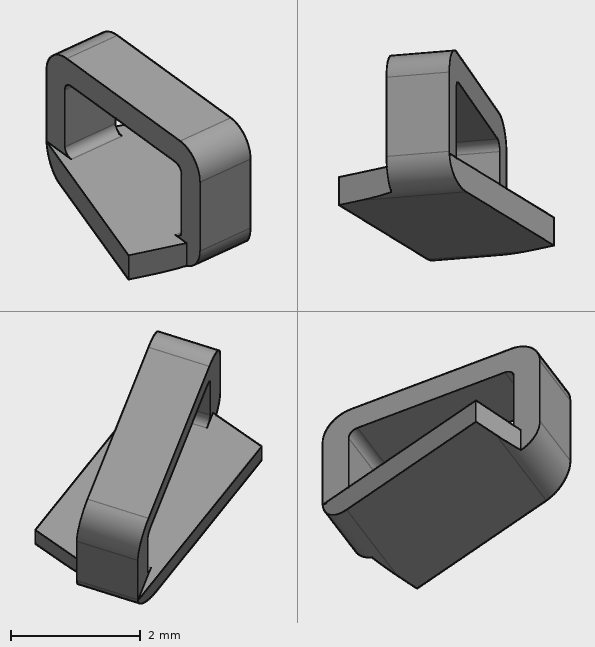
import cadquery as cq
import math

overall_x = 3.93
loop_angle = 17.4
loop_depth = 1.0
loop_height = 2.3
wall = 0.46
outer_radius = 0.5
inner_radius = 0.155

turn = math.radians(loop_angle)
loop_length = (overall_x - loop_depth * math.sin(turn)) / math.cos(turn)

plate_thickness = wall
free_corner_x = 1.63
free_corner_y = 0.96


def rounded_prism(length, height, depth, radius):
    """Block along the loop direction with its four depth-wise edges rounded."""
    block = cq.Workplane("XY").box(length, depth, height).edges("|Y").fillet(radius)
    return block.rotate((0, 0, 0), (0, 0, 1), loop_angle)


def make_loop():
    through_depth = 2 * loop_depth
    outer = rounded_prism(loop_length, loop_height, loop_depth, outer_radius)
    opening = rounded_prism(
        loop_length - 2 * wall, loop_height - 2 * wall, through_depth, inner_radius
    )
    return outer.cut(opening)


def make_plate():
    shared_x = loop_length / 2 * math.cos(turn) - loop_depth / 2 * math.sin(turn)
    shared_y = loop_length / 2 * math.sin(turn) + loop_depth / 2 * math.cos(turn)
    corners = [
        (shared_x, shared_y),
        (-free_corner_x, free_corner_y),
        (-shared_x, -shared_y),
        (free_corner_x, -free_corner_y),
    ]
    plate = (
        cq.Workplane("XY")
        .workplane(offset=-loop_height / 2)
        .polyline(corners)
        .close()
        .extrude(plate_thickness)
    )
    outline = rounded_prism(loop_length, loop_height, overall_x, outer_radius)
    return plate.intersect(outline)


result = make_loop().union(make_plate())